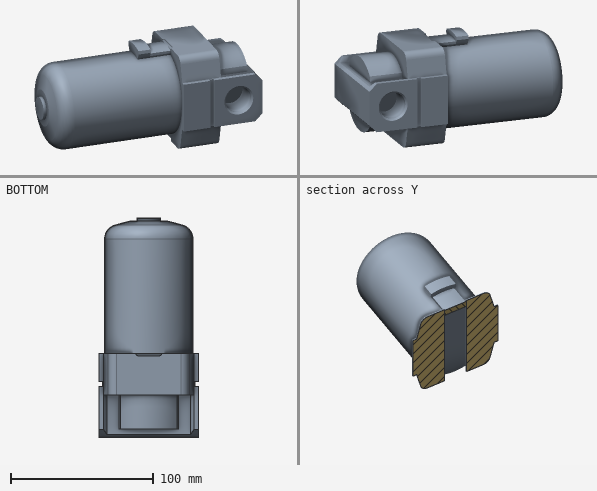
import cadquery as cq
import math


overall_length = 154.1

head_half_height = 35.5
collar_length = 29.1
collar_waist_half_width = 31.7
collar_top_half_width = 27.3
collar_corner_radius = 6.2

port_block_width = 70.0
port_block_half_height = 17.9
port_block_length = 59.0
port_block_chamfer = 5.4

pocket_floor_height = 14.5
pocket_floor_half_width = 29.3
boss_radius = 27.3
boss_end = 53.2
boss_base_half_width = 21.0
boss_shoulder_half_width = 19.9

groove_start = 19.9
groove_width = 3.2
groove_depth = 2.5

port_center = 41.3
port_radius = 9.5
port_depth = 18.5
port_chamfer = 1.2

notch_half_width = 8.8
notch_depth = 1.8
notch_chamfer = 1.1

bowl_diameter = 62.1
bowl_radius = bowl_diameter / 2
bowl_straight_length = 80.3
dome_radius = 10.2
dome_cone_angle = math.radians(15)
end_flat_radius = 13.3
drain_radius = 8.2
drain_end = overall_length - port_block_length

latch_top_radius = 38.5
arm_top_radius = 34.7
grip_start = 15.5
grip_end = 24.7
grip_top_half_width = 10.0
grip_widest_half_width = 10.5
grip_widest_height = 34.8
latch_base_half_width = 7.5
latch_base_height = 29.3

cut_margin = 1.5


def xz_sketch(start_y):
    """Sketch plane with local axes X and Z whose extrusions run toward +Y."""
    plane = cq.Plane(origin=(0, start_y, 0), xDir=(1, 0, 0), normal=(0, -1, 0))
    return cq.Workplane(plane)


def extrude_back(sketch, length):
    """Extrude a sketch on the XZ plane toward +Y."""
    return sketch.extrude(-length)


def make_collar():
    """Front block of the head, with slanted sides and rounded top and bottom corners."""
    quarter = [
        (collar_waist_half_width, port_block_half_height),
        (collar_top_half_width, head_half_height),
    ]
    upper = quarter + [(-x, z) for x, z in reversed(quarter)]
    lower = [(-x, -z) for x, z in upper]
    collar = extrude_back(xz_sketch(0).polyline(upper + lower).close(), collar_length)
    return collar.faces(">Z or <Z").edges("|Y").fillet(collar_corner_radius)


def make_port_block():
    """Wide block that carries the ports, chamfered at its rear edges."""
    block = cq.Workplane("XY").box(
        port_block_width, port_block_length, 2 * port_block_half_height, centered=(True, False, True)
    )
    return block.faces(">Y").edges("|X").chamfer(port_block_chamfer)


def make_pocket(side):
    """Pocket with sloped side walls in the top (side = 1) or bottom (side = -1) of the port block."""
    wall_slope = (collar_waist_half_width - pocket_floor_half_width) / (
        port_block_half_height - pocket_floor_height
    )
    mouth_height = port_block_half_height + cut_margin
    mouth_half_width = collar_waist_half_width + wall_slope * cut_margin
    outline = [
        (-pocket_floor_half_width, side * pocket_floor_height),
        (pocket_floor_half_width, side * pocket_floor_height),
        (mouth_half_width, side * mouth_height),
        (-mouth_half_width, side * mouth_height),
    ]
    length = port_block_length - collar_length + cut_margin
    return extrude_back(xz_sketch(collar_length).polyline(outline).close(), length)


def make_boss():
    """Barrel behind the collar, with arcs above and below and flared flanks."""
    shoulder_height = math.sqrt(boss_radius**2 - boss_shoulder_half_width**2)
    outline = (
        xz_sketch(0)
        .moveTo(-boss_shoulder_half_width, shoulder_height)
        .threePointArc((0, boss_radius), (boss_shoulder_half_width, shoulder_height))
        .lineTo(boss_base_half_width, pocket_floor_height)
        .lineTo(boss_base_half_width, -pocket_floor_height)
        .lineTo(boss_shoulder_half_width, -shoulder_height)
        .threePointArc((0, -boss_radius), (-boss_shoulder_half_width, -shoulder_height))
        .lineTo(-boss_base_half_width, -pocket_floor_height)
        .lineTo(-boss_base_half_width, pocket_floor_height)
        .close()
    )
    return extrude_back(outline, boss_end)


def make_groove(side):
    """Straight vertical groove in one side face of the port block."""
    groove = cq.Workplane("XY").box(
        2 * groove_depth, groove_width, 2 * head_half_height, centered=(True, False, True)
    )
    return groove.translate((side * port_block_width / 2, groove_start, 0))


def make_port(side):
    """Blind port with a countersunk mouth, entering from one side face."""
    half_width = port_block_width / 2
    mouth_radius = port_radius + port_chamfer
    profile = [
        (half_width - port_depth, 0),
        (half_width - port_depth, port_radius),
        (half_width - port_chamfer, port_radius),
        (half_width, mouth_radius),
        (half_width, 0),
    ]
    port = (
        cq.Workplane("XY")
        .polyline([(side * x, r) for x, r in profile])
        .close()
        .revolve(360, (0, 0, 0), (1, 0, 0))
    )
    return port.translate((0, port_center, 0))


def make_notch():
    """Slot across the front face of the head, chamfered in its inner corners."""
    slot = cq.Workplane("XY").box(
        2 * notch_half_width, notch_depth + cut_margin, 2 * head_half_height, centered=(True, False, True)
    )
    return slot.faces(">Y").edges("|Z").chamfer(notch_chamfer).translate((0, -cut_margin, 0))


def make_head():
    """Collar, port block and boss as one solid, with ports, grooves and the notch cut in."""
    port_block = make_port_block()
    for side in (1, -1):
        port_block = port_block.cut(make_pocket(side))
    head = make_collar().union(port_block).union(make_boss())
    for side in (1, -1):
        head = head.cut(make_groove(side)).cut(make_port(side))
    return head.cut(make_notch())


def make_bowl_shell():
    """Round bowl with a rolled edge, a shallow cone, a flat end and a drain stub."""
    dome_center_radius = bowl_radius - dome_radius

    def dome_point(angle):
        return (
            dome_center_radius + dome_radius * math.cos(angle),
            -bowl_straight_length - dome_radius * math.sin(angle),
        )

    dome_end_angle = math.pi / 2 - dome_cone_angle
    cone_radius, cone_y = dome_point(dome_end_angle)
    end_y = cone_y - (cone_radius - end_flat_radius) * math.tan(dome_cone_angle)
    return (
        cq.Workplane("XY")
        .moveTo(0, 0)
        .lineTo(bowl_radius, 0)
        .lineTo(bowl_radius, -bowl_straight_length)
        .threePointArc(dome_point(dome_end_angle / 2), (cone_radius, cone_y))
        .lineTo(end_flat_radius, end_y)
        .lineTo(drain_radius, end_y)
        .lineTo(drain_radius, -drain_end)
        .lineTo(0, -drain_end)
        .close()
        .revolve(360, (0, 0, 0), (0, 1, 0))
    )


def make_latch():
    """Latch with a wide grip and a lower, narrower arm that reaches back to the head."""
    grip_top_height = math.sqrt(latch_top_radius**2 - grip_top_half_width**2)
    latch = extrude_back(
        xz_sketch(-grip_end)
        .moveTo(-latch_base_half_width, latch_base_height)
        .lineTo(-grip_widest_half_width, grip_widest_height)
        .lineTo(-grip_top_half_width, grip_top_height)
        .threePointArc((0, latch_top_radius), (grip_top_half_width, grip_top_height))
        .lineTo(grip_widest_half_width, grip_widest_height)
        .lineTo(latch_base_half_width, latch_base_height)
        .close(),
        grip_end,
    )
    grip_envelope = cq.Workplane("XY").box(
        2 * latch_top_radius, grip_end - grip_start, 2 * latch_top_radius, centered=(True, False, True)
    ).translate((0, -grip_end, 0))
    arm_envelope = (
        cq.Workplane("XY")
        .box(2 * notch_half_width, grip_start, 2 * latch_top_radius, centered=(True, False, True))
        .translate((0, -grip_start, 0))
        .intersect(extrude_back(xz_sketch(-grip_start).circle(arm_top_radius), grip_start))
    )
    return latch.intersect(grip_envelope).union(latch.intersect(arm_envelope))


def make_key():
    """Flat-topped key at the end of the latch arm that fills the head notch."""
    key = cq.Workplane("XY").box(
        2 * notch_half_width, notch_depth, arm_top_radius - latch_base_height, centered=(True, False, False)
    )
    return key.faces(">Y").edges("|Z").chamfer(notch_chamfer).translate((0, 0, latch_base_height))


def make_bowl():
    """Bowl with its latch and key as one solid."""
    return make_bowl_shell().union(make_latch()).union(make_key())


head = make_head()
bowl = make_bowl()

result = cq.Compound.makeCompound([head.solids().val(), bowl.solids().val()])